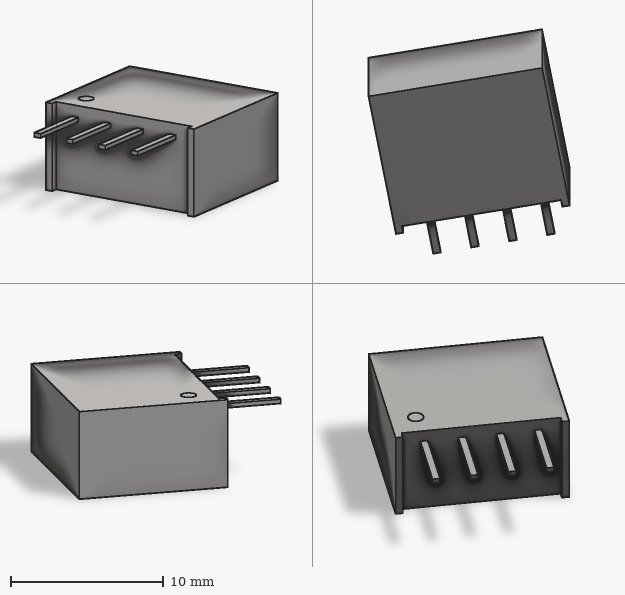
import cadquery as cq

HOUSING_WIDTH = 11.6
HOUSING_DEPTH = 10.15
HOUSING_HEIGHT = 6.0

LIP_WIDTH = 0.48
RECESS_DEPTH = 0.48

OVERALL_DEPTH = 14.26
PIN_COUNT = 4
PIN_PITCH = 2.54
PIN_WIDTH = 0.5
PIN_THICKNESS = 0.3
PIN_LENGTH = OVERALL_DEPTH - HOUSING_DEPTH + RECESS_DEPTH
PIN_CENTER_Z = 5.06

MARKER_DIAMETER = 1.03
MARKER_THICKNESS = 0.1
MARKER_X = -4.06
MARKER_Y = 2.2

pin_positions = [
    (index - (PIN_COUNT - 1) / 2) * PIN_PITCH
    for index in range(PIN_COUNT)
]


def make_marker():
    """Thin disc beside the first pin."""
    return (
        cq.Workplane("XY")
        .workplane(offset=HOUSING_HEIGHT - MARKER_THICKNESS)
        .center(MARKER_X, MARKER_Y)
        .circle(MARKER_DIAMETER / 2)
        .extrude(MARKER_THICKNESS)
    )


def make_housing(marker):
    """Block with a recessed front and a seat for the marker."""
    block = cq.Workplane("XY").box(
        HOUSING_WIDTH, HOUSING_DEPTH, HOUSING_HEIGHT, centered=(True, False, False)
    )
    recess = cq.Workplane("XY").box(
        HOUSING_WIDTH - 2 * LIP_WIDTH, RECESS_DEPTH, HOUSING_HEIGHT, centered=(True, False, False)
    )
    return block.cut(recess).cut(marker)


def make_pin(x):
    """Straight rectangular pin reaching forward from the recess floor."""
    return (
        cq.Workplane("XY")
        .box(PIN_WIDTH, PIN_LENGTH, PIN_THICKNESS)
        .translate((x, RECESS_DEPTH - PIN_LENGTH / 2, PIN_CENTER_Z))
    )


marker = make_marker()
housing = make_housing(marker)
pins = [make_pin(x) for x in pin_positions]

result = cq.Compound.makeCompound([housing.val(), marker.val(), *[pin.val() for pin in pins]])